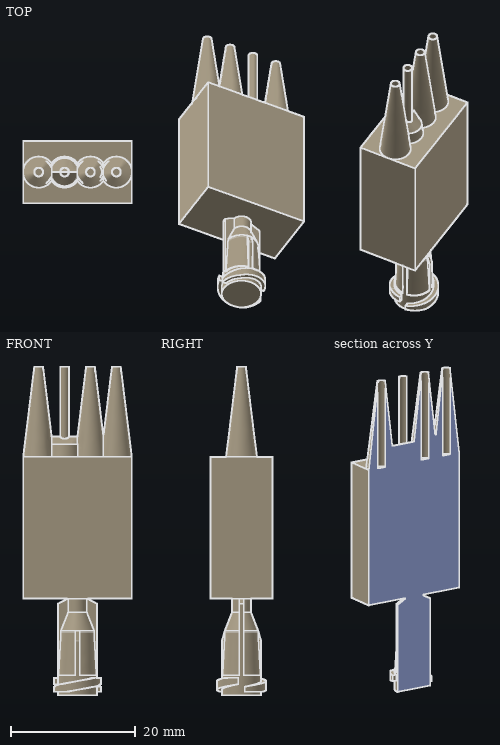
import cadquery as cq

TOTAL_HEIGHT = 52.7

BLOCK_WIDTH = 17.45
BLOCK_DEPTH = 10.0
BLOCK_HEIGHT = 22.75
BLOCK_TOP = BLOCK_HEIGHT / 2
BLOCK_BOTTOM = -BLOCK_HEIGHT / 2

NOZZLE_HEIGHT = 14.45
NOZZLE_BASE_DIA = 5.0
NOZZLE_TIP_DIA = 1.45
BORE_DIA = 1.35
NOZZLE_COUNT = 4
NEEDLE_STATION = 1
NOZZLE_PITCH = (BLOCK_WIDTH - NOZZLE_BASE_DIA) / (NOZZLE_COUNT - 1)

NEEDLE_BASE_HEIGHT = 2.0
RIDGE_HEIGHT = 3.3
NOZZLE_TAPER = (NOZZLE_BASE_DIA - NOZZLE_TIP_DIA) / NOZZLE_HEIGHT
NEEDLE_BASE_TOP_DIA = NOZZLE_BASE_DIA - NOZZLE_TAPER * NEEDLE_BASE_HEIGHT
RIDGE_HALF_LENGTH = NEEDLE_BASE_TOP_DIA / 2
RIDGE_HALF_THICKNESS = 0.03

FITTING_LENGTH = TOTAL_HEIGHT - BLOCK_HEIGHT - NOZZLE_HEIGHT
FITTING_BOTTOM = BLOCK_BOTTOM - FITTING_LENGTH
NECK_DIA = 3.1
NECK_DEPTH = 2.2
SHOULDER_DIA = 5.35
SHOULDER_DEPTH = 5.1
SHOULDER_BAND = 0.3
BARREL_END_DIA = 6.1
COLLAR_DIA = 6.3
COLLAR_DEPTH = 12.25

RIB_THICKNESS = 0.75
SIDE_RIB_TOP_DIA = 3.3
SIDE_RIB_CHAMFER_DEPTH = 0.8
SHORT_RIB_CHAMFER_DEPTH = 6.75

LUG_SPAN_Y = 7.9
LUG_SPAN_X = 7.6
LUG_HEIGHT = 1.4
LUG_LEAD = 4.0
LUG_MID_DEPTH = 13.9
LUG_TOP_DEPTH = 12.7
LUG_BOTTOM_DEPTH = 14.95
LUG_END_GAP = 1.0
LUG_OVERLAP = 0.4


def frustum(bottom_dia, top_dia, height):
    """Cone frustum standing on Z = 0."""
    return cq.Workplane(cq.Solid.makeCone(bottom_dia / 2, top_dia / 2, height))


def tube_bore():
    """Cutter for the bore, as long as a nozzle."""
    return cq.Workplane("XY").circle(BORE_DIA / 2).extrude(NOZZLE_HEIGHT)


def tapered_nozzle():
    return frustum(NOZZLE_BASE_DIA, NOZZLE_TIP_DIA, NOZZLE_HEIGHT)


def needle_base():
    """Frustum, tapered like the other nozzles, topped by a ruled surface that closes to a ridge along X."""
    foot = frustum(NOZZLE_BASE_DIA, NEEDLE_BASE_TOP_DIA, NEEDLE_BASE_HEIGHT)
    pinched_top = (
        cq.Workplane("XY", origin=(0, 0, NEEDLE_BASE_HEIGHT))
        .circle(NEEDLE_BASE_TOP_DIA / 2)
        .workplane(offset=RIDGE_HEIGHT - NEEDLE_BASE_HEIGHT)
        .ellipse(RIDGE_HALF_LENGTH, RIDGE_HALF_THICKNESS)
        .loft(ruled=True)
    )
    return foot.union(pinched_top)


def needle():
    """Straight thin tube whose bore ends on the ridge of its base."""
    tube = cq.Workplane("XY").circle(NOZZLE_TIP_DIA / 2).extrude(NOZZLE_HEIGHT)
    return tube.cut(tube_bore()).union(needle_base())


def nozzle_row():
    row_start = -NOZZLE_PITCH * (NOZZLE_COUNT - 1) / 2
    stations = [row_start + i * NOZZLE_PITCH for i in range(NOZZLE_COUNT)]
    needle_x = stations.pop(NEEDLE_STATION)
    row = needle().translate((needle_x, 0, 0))
    for x in stations:
        row = row.union(tapered_nozzle().translate((x, 0, 0)))
    for x in stations:
        row = row.cut(tube_bore().translate((x, 0, 0)))
    return row.translate((0, 0, BLOCK_TOP))


def fitting_body():
    """Turned body: neck, conical shoulder, tapered barrel and collar."""
    neck_end = BLOCK_BOTTOM - NECK_DEPTH
    shoulder_end = BLOCK_BOTTOM - SHOULDER_DEPTH
    collar_top = BLOCK_BOTTOM - COLLAR_DEPTH
    profile = [
        (0, BLOCK_BOTTOM),
        (NECK_DIA / 2, BLOCK_BOTTOM),
        (NECK_DIA / 2, neck_end),
        (SHOULDER_DIA / 2, shoulder_end),
        (SHOULDER_DIA / 2, shoulder_end - SHOULDER_BAND),
        (BARREL_END_DIA / 2, collar_top),
        (COLLAR_DIA / 2, collar_top),
        (COLLAR_DIA / 2, FITTING_BOTTOM),
        (0, FITTING_BOTTOM),
    ]
    return cq.Workplane("XZ").polyline(profile).close().revolve(360, (0, 0), (0, 1))


def rib_pair(plane, top_dia, top_depth, chamfer_depth):
    """Flat plate through the axis whose upper corners are chamfered."""
    top = BLOCK_BOTTOM - top_depth
    chamfer_end = BLOCK_BOTTOM - chamfer_depth
    collar_top = BLOCK_BOTTOM - COLLAR_DEPTH
    outline = [
        (-top_dia / 2, top),
        (top_dia / 2, top),
        (COLLAR_DIA / 2, chamfer_end),
        (COLLAR_DIA / 2, collar_top),
        (-COLLAR_DIA / 2, collar_top),
        (-COLLAR_DIA / 2, chamfer_end),
    ]
    plate = cq.Workplane(plane).polyline(outline).close().extrude(RIB_THICKNESS / 2, both=True)
    envelope = (
        cq.Workplane("XY", origin=(0, 0, FITTING_BOTTOM))
        .circle(COLLAR_DIA / 2)
        .extrude(FITTING_LENGTH)
    )
    return plate.intersect(envelope)


def lug():
    """Half-turn helical lug on the -Y side, rising from -X to +X.

    An oval outline and flat top, bottom and end planes trim the helical band.
    """
    inner_radius = COLLAR_DIA / 2 - LUG_OVERLAP
    outer_radius = LUG_SPAN_Y / 2 + LUG_OVERLAP
    mid_radius = (inner_radius + outer_radius) / 2
    helix = cq.Wire.makeHelix(LUG_LEAD, LUG_LEAD / 2, mid_radius)
    band = (
        cq.Workplane("XZ", origin=(mid_radius, 0, 0))
        .rect(outer_radius - inner_radius, LUG_HEIGHT)
        .sweep(cq.Workplane(helix), isFrenet=True)
        .rotate((0, 0, 0), (0, 0, 1), 180)
        .translate((0, 0, BLOCK_BOTTOM - LUG_MID_DEPTH - LUG_LEAD / 4))
    )
    base = cq.Workplane("XY", origin=(0, 0, BLOCK_BOTTOM - LUG_BOTTOM_DEPTH))
    height = LUG_BOTTOM_DEPTH - LUG_TOP_DEPTH
    oval = base.ellipse(LUG_SPAN_X / 2, LUG_SPAN_Y / 2).extrude(height)
    half_centre_y = -(LUG_SPAN_Y + LUG_END_GAP) / 2
    front_half = base.center(0, half_centre_y).rect(LUG_SPAN_Y, LUG_SPAN_Y).extrude(height)
    limits = oval.intersect(front_half)
    return band.intersect(limits)


def fitting():
    side_ribs = rib_pair("XZ", SIDE_RIB_TOP_DIA, 0, SIDE_RIB_CHAMFER_DEPTH)
    short_ribs = rib_pair("YZ", SHOULDER_DIA, SHOULDER_DEPTH, SHORT_RIB_CHAMFER_DEPTH)
    body = fitting_body().union(side_ribs).union(short_ribs)
    for angle in (0, 180):
        body = body.union(lug().rotate((0, 0, 0), (0, 0, 1), angle))
    return body


block = cq.Workplane("XY").box(BLOCK_WIDTH, BLOCK_DEPTH, BLOCK_HEIGHT)
result = block.union(nozzle_row()).union(fitting())